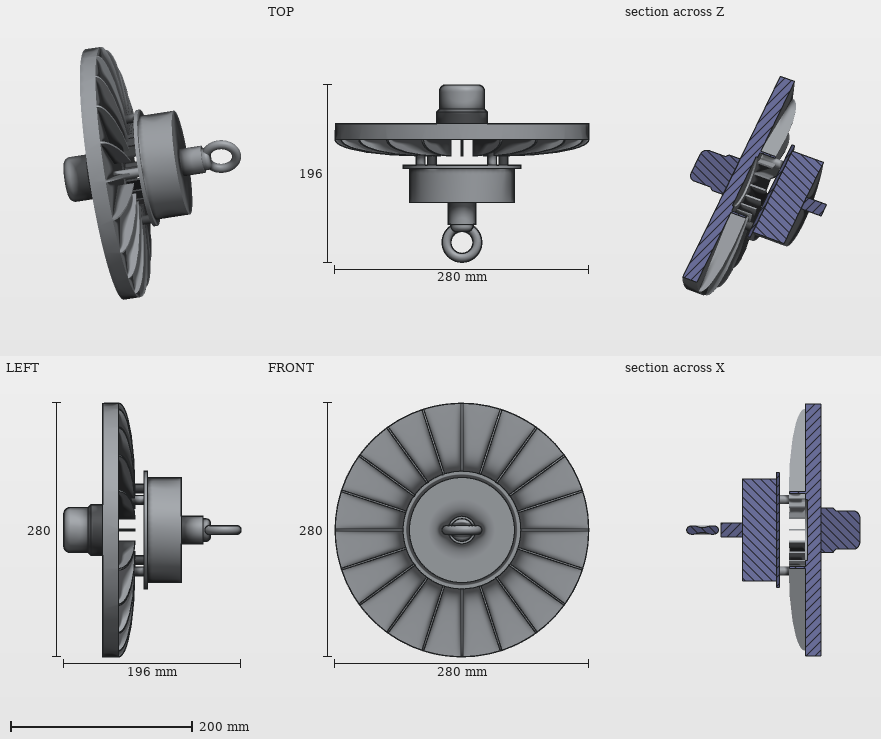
import cadquery as cq

PLATE_RADIUS = 140.0
PLATE_THICKNESS = 17.6
HUB_RECESS_RADIUS = 36.0
HUB_RECESS_DEPTH = 2.0
FIN_COUNT = 20
FIN_THICKNESS = 2.0
FIN_HEIGHT = 18.0
FIN_INNER_RADIUS = 42.0
FIN_CURVE_LENGTH = 95.0
POST_COUNT = 4
POST_RADIUS = 5.0
POST_CIRCLE_RADIUS = 56.5
POST_LENGTH = 28.0
FIN_PITCH = 360.0 / FIN_COUNT
FIRST_POST_ANGLE = 3 * FIN_PITCH

CAP_BASE_RADIUS = 28.0
CAP_BASE_LENGTH = 13.0
CAP_TAPER_LENGTH = 3.0
CAP_RADIUS = 25.0
CAP_LENGTH = 43.0
CAP_ROUNDING = 7.5

LID_RADIUS = 65.0
LID_THICKNESS = 4.0
BOX_RADIUS = 58.0
BOX_LENGTH = 37.4

SLEEVE_RADIUS = 15.25
SLEEVE_LENGTH = 24.0
COLLAR_RADIUS = 12.5
COLLAR_LENGTH = 8.0
COLLAR_ROUNDING = 5.0
EYE_RADIUS = 17.0
EYE_WIRE_RADIUS = 5.0
EYE_CENTRE_FROM_SLEEVE = 20.0

PLATE_FRONT = -PLATE_THICKNESS
LID_BACK = PLATE_FRONT - POST_LENGTH
BOX_BACK = LID_BACK - LID_THICKNESS
BOX_FRONT = BOX_BACK - BOX_LENGTH
SLEEVE_FRONT = BOX_FRONT - SLEEVE_LENGTH
EYE_CENTRE = SLEEVE_FRONT - EYE_CENTRE_FROM_SLEEVE


def forward_cylinder(radius, start, length):
    """Cylinder on the Y axis running from start toward -Y."""
    return cq.Workplane("XZ", origin=(0, start, 0)).circle(radius).extrude(length)


def make_fin(angle):
    """Radial fin whose crest drops to the plate rim along a quarter ellipse."""
    crest = PLATE_FRONT - FIN_HEIGHT
    curve_start = PLATE_RADIUS - FIN_CURVE_LENGTH
    fin = (
        cq.Workplane("XY", origin=(0, 0, -FIN_THICKNESS / 2))
        .moveTo(FIN_INNER_RADIUS, PLATE_FRONT)
        .lineTo(FIN_INNER_RADIUS, crest)
        .lineTo(curve_start, crest)
        .ellipseArc(FIN_CURVE_LENGTH, FIN_HEIGHT, 270, 360, startAtCurrent=True)
        .close()
        .extrude(FIN_THICKNESS)
    )
    return fin.rotate((0, 0, 0), (0, 1, 0), -angle)


def make_heat_sink():
    """Round plate with a shallow hub recess, radial fins and standoff posts."""
    sink = forward_cylinder(PLATE_RADIUS, 0, PLATE_THICKNESS)
    recess = forward_cylinder(HUB_RECESS_RADIUS, PLATE_FRONT + HUB_RECESS_DEPTH, HUB_RECESS_DEPTH)
    sink = sink.cut(recess)
    for index in range(FIN_COUNT):
        sink = sink.union(make_fin(index * FIN_PITCH))
    posts = (
        cq.Workplane("XZ", origin=(0, PLATE_FRONT, 0))
        .polarArray(POST_CIRCLE_RADIUS, FIRST_POST_ANGLE, 360, POST_COUNT)
        .circle(POST_RADIUS)
        .extrude(POST_LENGTH)
    )
    return sink.union(posts)


def make_cap():
    """Round cap behind the plate: wide base, short taper and rounded end."""
    taper_end = CAP_BASE_LENGTH + CAP_TAPER_LENGTH
    return (
        cq.Workplane("XY")
        .lineTo(CAP_BASE_RADIUS, 0)
        .lineTo(CAP_BASE_RADIUS, CAP_BASE_LENGTH)
        .lineTo(CAP_RADIUS, taper_end)
        .lineTo(CAP_RADIUS, CAP_LENGTH)
        .lineTo(0, CAP_LENGTH)
        .close()
        .revolve(360, (0, 0, 0), (0, 1, 0))
        .faces(">Y")
        .edges()
        .fillet(CAP_ROUNDING)
    )


def make_eye_bolt():
    """Rounded collar carrying a ring that lies in the XY plane."""
    collar = forward_cylinder(COLLAR_RADIUS, SLEEVE_FRONT, COLLAR_LENGTH)
    collar = collar.faces("<Y").edges().fillet(COLLAR_ROUNDING)
    eye = cq.Solid.makeTorus(EYE_RADIUS, EYE_WIRE_RADIUS, cq.Vector(0, EYE_CENTRE, 0), cq.Vector(0, 0, 1))
    return collar.union(cq.Workplane(eye))


heat_sink = make_heat_sink()
cap = make_cap()
lid = forward_cylinder(LID_RADIUS, LID_BACK, LID_THICKNESS)
driver_box = forward_cylinder(BOX_RADIUS, BOX_BACK, BOX_LENGTH)
sleeve = forward_cylinder(SLEEVE_RADIUS, BOX_FRONT, SLEEVE_LENGTH)
eye_bolt = make_eye_bolt()

result = cq.Compound.makeCompound(
    [heat_sink.val(), cap.val(), lid.val(), driver_box.val(), sleeve.val(), eye_bolt.val()]
)